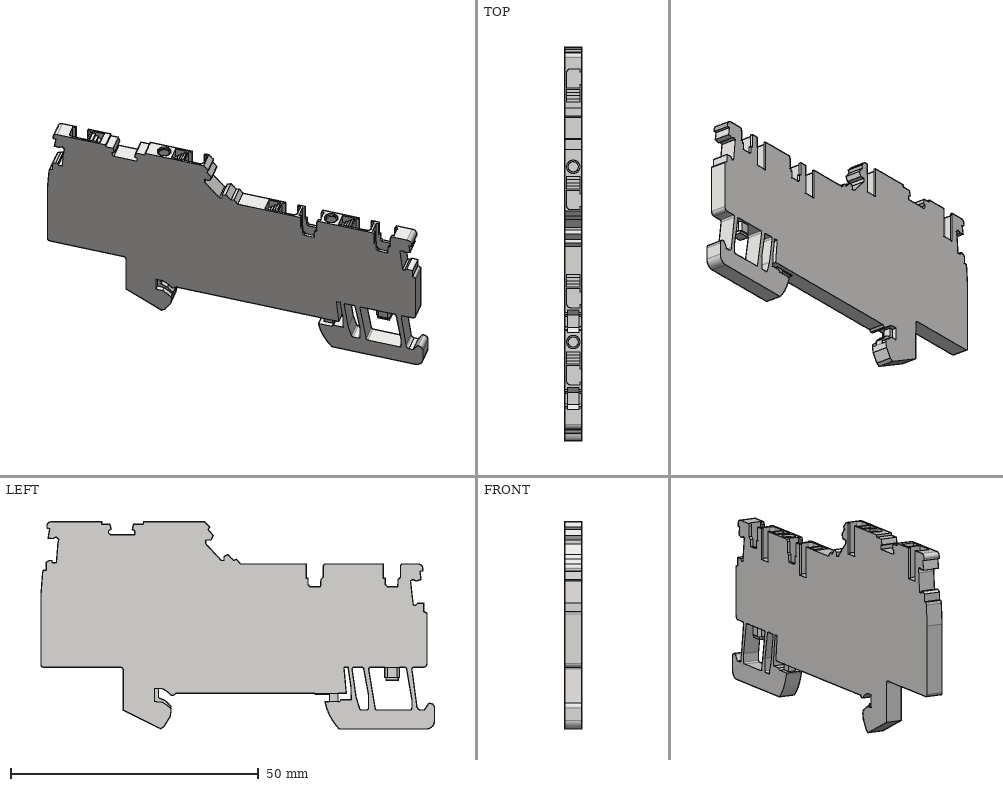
import cadquery as cq


thickness = 3.5
back_y = 39.7
front_y = back_y - 79.45
top_z = 41.9
deck_z = 33.4
belly_z = 12.5
rail_z = 7.2
slab_z = 3.9
core_width = 1.6

rear_top_y = 38.5
rear_end = [
    (back_y, belly_z), (back_y, 27.25), (39.4, 31.55), (39.25, 32.1), (38.7, 32.1),
    (38.7, 33.7), (38.0, 34.1), (37.5, 34.1), (37.4, 33.6), (36.6, 33.6),
    (36.3, 37.6), (36.15, 38.3), (36.6, 38.8), (37.35, 38.45), (38.3, 38.5),
    (38.0, 40.45), (rear_top_y, 40.6), (rear_top_y, top_z),
]
ledge_z = top_z - 0.5
notch_floor_z = 39.25
top_notch = [
    (27.4, top_z), (27.4, ledge_z), (25.8, ledge_z), (25.5, 40.45), (26.1, 40.05),
    (26.1, 39.6), (25.7, notch_floor_z), (20.8, notch_floor_z), (20.8, 40.05),
    (21.3, 40.3), (21.05, ledge_z), (19.1, ledge_z), (19.1, top_z),
]
slope_foot_z = 34.1
deck_step = [
    (6.7, top_z), (5.65, 40.85), (5.95, 40.3), (4.9, 39.1), (5.4, 38.15), (6.4, 38.15),
    (6.4, 37.4), (3.3, slope_foot_z), (2.8, slope_foot_z), (2.8, 34.9), (2.0, 35.3),
    (0.9, slope_foot_z), (0.2, 34.3), (-0.55, deck_z),
]
front_top_y = -37.35
nose_y = -38.2
nose_top_z = 23.45
front_end = [
    (front_top_y, deck_z), (front_top_y, 31.95), (-36.8, 31.9), (-37.0, 30.2), (-36.0, 29.9),
    (-35.4, 30.2), (-34.9, 29.95), (-35.4, 25.1), (-35.8, 24.95),
    (-36.3, 25.4), (-37.6, 25.4), (-37.6, 23.75), (nose_y, nose_top_z), (nose_y, belly_z),
]
leg_top = (-35.1, belly_z)
leg_root = (-36.15, 4.8)
cup_bend = (-36.4, 4.1)
cup_bottom = (-36.8, slab_z)
lip_inner_y = -38.5
lip_top_z = 5.25
foot_underside = [
    (-37.7, slab_z), (lip_inner_y, lip_top_z), (front_y, lip_top_z), (front_y, 0), (-20.5, 0),
]
toe_bulge = (-18.8, 2.2)
toe_tip = (-17.65, 5.3)
spring_gap = [
    (-17.65, 5.6), (-20.5, 5.6), (-20.8, 5.95), (-22.9, 5.95), (-22.8, 8.7),
    (-22.25, belly_z), (-21.45, belly_z), (-21.9, rail_z),
]
hook_roof_z = 8.2
rail_seat = [(12.5, rail_z), (12.95, 6.8), (13.4, 6.8)]
hook_root_bend = (14.3, 7.6)
hook_root = (15.3, hook_roof_z)
hook_back_y = 16.8
hook_cavity = [(hook_back_y, hook_roof_z), (hook_back_y, 5.6), (15.3, 5.5)]
hook_bend = (14.55, 5.0)
hook_inner = (13.6, 4.3)
hook_nose = (13.4, 3.65)
rear_leg_y = 23.1
hook_tail = [(13.7, 2.5), (14.85, 0.55), (15.6, 0.1), (rear_leg_y, 3.8), (rear_leg_y, belly_z)]


def extruded(profile, width):
    """Extrude a closed YZ profile along X, centred on the middle plane."""
    return profile.close().extrude(width / 2, both=True)


def prism(points, width):
    return extruded(cq.Workplane("YZ").polyline(points), width)


def box(y_rear, y_front, z_low, z_high, x_low, x_high):
    size = (x_high - x_low, y_rear - y_front, z_high - z_low)
    return cq.Workplane("XY").box(*size, centered=False).translate((x_low, y_front, z_low))


def round_corner(body, y, z, radius):
    """Fillet the outline edge parallel to X that passes through (y, z)."""
    near = 0.04
    corner = cq.selectors.BoxSelector(
        (-thickness, y - near, z - near), (thickness, y + near, z + near)
    )
    return body.edges(corner).fillet(radius)


def make_housing():
    upper = rear_end + top_notch + deck_step + front_end
    profile = cq.Workplane("YZ").polyline(upper + [leg_top, leg_root])
    profile = profile.threePointArc(cup_bend, cup_bottom)
    for point in foot_underside:
        profile = profile.lineTo(*point)
    profile = profile.threePointArc(toe_bulge, toe_tip)
    for point in spring_gap + rail_seat:
        profile = profile.lineTo(*point)
    profile = profile.threePointArc(hook_root_bend, hook_root)
    for point in hook_cavity:
        profile = profile.lineTo(*point)
    profile = profile.threePointArc(hook_bend, hook_inner)
    for point in [hook_nose] + hook_tail:
        profile = profile.lineTo(*point)
    body = extruded(profile, thickness)

    for y, z, radius in [
        (back_y, belly_z, 0.55),
        (rear_leg_y, belly_z, 0.55),
        (rear_top_y, top_z, 0.9),
        (front_top_y, deck_z, 0.95),
        (nose_y, nose_top_z, 0.2),
        (nose_y, belly_z, 0.8),
        (*leg_top, 0.3),
        (lip_inner_y, lip_top_z, 0.3),
        (front_y, lip_top_z, 0.95),
        (front_y, 0, 1.75),
    ]:
        body = round_corner(body, y, z, radius)
    return body


leg_windows = [
    [
        (-23.05, belly_z), (-25.35, belly_z), (-26.4, 6.8), (-26.4, slab_z),
        (-24.7, slab_z), (-23.9, 6.4),
    ],
    [
        (-26.4, belly_z), (-34.0, belly_z), (-35.1, 5.95), (-35.1, slab_z),
        (-27.8, slab_z),
    ],
]
window_corner = 0.3


def make_leg_window(points):
    return prism(points, thickness).edges("|X").fillet(window_corner)


slot_step_z = 30.5
slot_floor_z = 28.8
slot_rear_ys = [-13.8, -29.4]
marker_width = 2.4
marker_rear_gap = 0.5
marker_length = 4.5
marker_floor_z = 26.2
marker_bevel = 1.0


def make_marker_slot(y):
    slot = prism(
        [
            (y, deck_z), (y, slot_step_z), (y - 0.4, slot_step_z), (y - 0.4, 29.2),
            (y - 0.8, slot_floor_z), (y - 2.9, slot_floor_z), (y - 2.95, 30.2),
            (y - 3.4, 30.7), (y - 3.4, 32.9), (y - 3.65, deck_z),
        ],
        thickness,
    )
    rear = y + marker_rear_gap
    front = rear - marker_length
    half = marker_width / 2
    recess = box(rear, front, marker_floor_z, deck_z, -half, half)
    recess = recess.faces("<Z").edges("|X").chamfer(marker_bevel)
    return slot.union(recess)


entry_width = 2.7
entry_length = 3.9
entry_depth = 6.35
entry_corner = 0.8
side_gap_length = 2.55
side_gap_inset = 0.6
release_length = 2.5
release_spacing = 0.3
release_step_depth = 0.5
release_steps = 4


def make_wire_entry(outer_y, direction, surface_z):
    """Entry from its rounded outer end; the release window lies in the given Y direction."""

    def span(start, length, z_low, x_low, x_high):
        ends = [outer_y + direction * start, outer_y + direction * (start + length)]
        return box(max(ends), min(ends), z_low, surface_z, x_low, x_high)

    half = entry_width / 2
    floor_z = surface_z - entry_depth
    entry = span(0, entry_length, floor_z, -half, half)
    outer_end = ">Y" if direction < 0 else "<Y"
    entry = entry.faces(outer_end).edges("|Z and <X").fillet(entry_corner)
    entry = entry.union(span(side_gap_inset, side_gap_length, floor_z, 0, thickness / 2))

    release_start = entry_length + release_spacing
    tread = release_length / release_steps
    for step in range(release_steps):
        step_floor_z = surface_z - release_step_depth * (step + 1)
        start = release_start + tread * step
        entry = entry.union(span(start, tread, step_floor_z, -half, half))
    return entry


wire_entries = [
    (35.35, -1, top_z),
    (6.9, 1, top_z),
    (-12.9, 1, deck_z),
    (-28.45, 1, deck_z),
]

socket_radius = 1.0
socket_mouth_radius = 1.35
socket_mouth_depth = 0.5
socket_depth = 4.8
test_sockets = [(15.6, top_z), (-19.8, deck_z)]


def make_test_socket(y, surface_z):
    bore = cq.Workplane("XY", origin=(0, y, surface_z)).circle(socket_radius).extrude(-socket_depth)
    mouth = cq.Workplane("XY", origin=(0, y, surface_z)).circle(socket_mouth_radius)
    return bore.union(mouth.extrude(-socket_mouth_depth))


overlap = 0.4
peg_width = 2.55
peg_rear_y = -29.6
peg_front_y = -32.65
peg_shoulder_z = 10.4
peg_tip_z = 9.85
peg_bevel = 0.55
peg_tip_inset = 0.2
post_rear_y = -18.5
post_front_y = -20.3
post_foot_z = 5.6
contact_rear_y = -15.6
contact_drop = 0.2


def make_peg():
    half = peg_width / 2
    shank = box(peg_rear_y, peg_front_y, peg_shoulder_z, belly_z + overlap, -half, half)
    shank = shank.edges("|Z").chamfer(peg_bevel)
    tip_half = half - peg_tip_inset
    tip = box(
        peg_rear_y - peg_tip_inset, peg_front_y + peg_tip_inset,
        peg_tip_z, peg_shoulder_z, -tip_half, tip_half,
    )
    return shank.union(tip)


def make_core_parts():
    half = core_width / 2
    post = box(post_rear_y, post_front_y, post_foot_z - overlap, rail_z + overlap, -half, half)
    rail_contact = box(
        contact_rear_y, post_rear_y, rail_z - contact_drop, rail_z + overlap, -half, half
    )
    hook_liner = prism(
        [
            (hook_back_y + overlap, hook_roof_z), (16.0, hook_roof_z), (16.0, 6.35), (14.6, 5.8),
            (13.4, 4.6), hook_nose, (hook_back_y + overlap, 5.1),
        ],
        core_width,
    )
    return post.union(rail_contact).union(hook_liner).union(make_peg())


result = make_housing()
for window_points in leg_windows:
    result = result.cut(make_leg_window(window_points))
for slot_y in slot_rear_ys:
    result = result.cut(make_marker_slot(slot_y))
for entry_y, toward, entry_z in wire_entries:
    result = result.cut(make_wire_entry(entry_y, toward, entry_z))
for socket_y, socket_z in test_sockets:
    result = result.cut(make_test_socket(socket_y, socket_z))
result = result.union(make_core_parts())